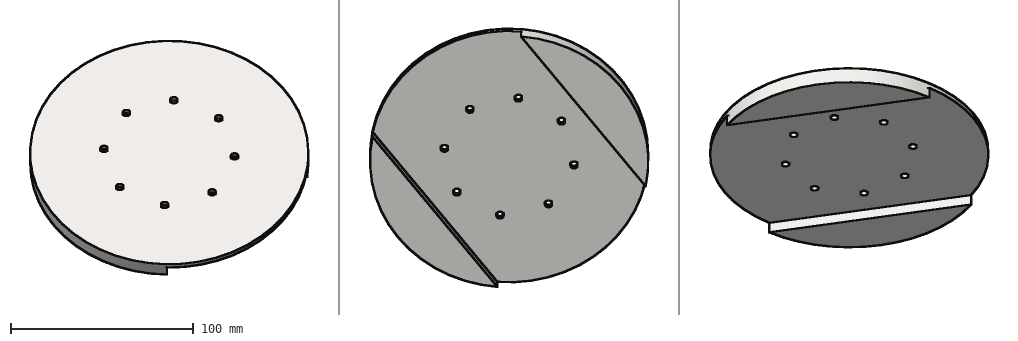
import cadquery as cq

disc_diameter = 152.4
total_height = 9.6

web_thickness = 3.2
channel_width = 101.5
channel_depth = total_height - web_thickness

hole_count = 8
hole_diameter = 4.1
hole_circle_radius = 35.8


def make_disc():
    """Full-height round disc resting on Z = 0."""
    return cq.Workplane("XY").circle(disc_diameter / 2).extrude(total_height)


def make_channel():
    """Channel running along X through the whole underside."""
    return cq.Workplane("XY").rect(disc_diameter, channel_width).extrude(channel_depth)


def make_holes():
    """Evenly spaced vertical holes, the first one on the +X axis."""
    return (
        cq.Workplane("XY")
        .polarArray(hole_circle_radius, 0, 360, hole_count)
        .circle(hole_diameter / 2)
        .extrude(total_height)
    )


result = make_disc().cut(make_channel()).cut(make_holes())